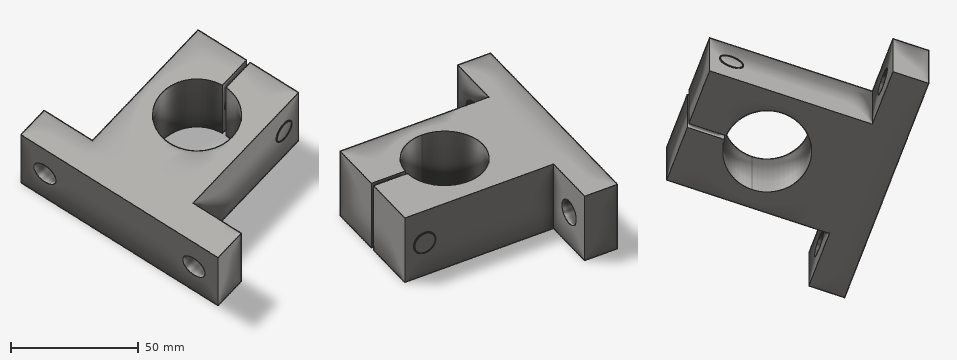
import cadquery as cq

base_length = 98.0
height = 32.0
depth = 83.0

base_thickness = 15.0
body_width = 50.0

bore_diameter = 35.0
bore_y = 50.0
slit_width = 1.8

mount_hole_diameter = 11.0
mount_hole_spacing = 74.0

screw_diameter = 10.0
screw_end_chamfer = 0.4
screw_y = depth - 9.2


def centred_block(width, y_start, y_end):
    """Full-height block centred on X and Z between two Y positions."""
    return (
        cq.Workplane("XY")
        .box(width, y_end - y_start, height)
        .translate((0, (y_start + y_end) / 2, 0))
    )


def cylinder_along_x(diameter, length):
    """Cylinder on the screw axis, centred on X."""
    return (
        cq.Workplane("YZ")
        .workplane(offset=-length / 2)
        .center(screw_y, 0)
        .circle(diameter / 2)
        .extrude(length)
    )


body = centred_block(base_length, 0, base_thickness)
body = body.union(centred_block(body_width, 0, depth))

shaft_bore = (
    cq.Workplane("XY")
    .center(0, bore_y)
    .circle(bore_diameter / 2)
    .extrude(height, both=True)
)
slit = centred_block(slit_width, bore_y, depth)
body = body.cut(shaft_bore).cut(slit)

mount_holes = (
    cq.Workplane("XZ")
    .pushPoints([(side * mount_hole_spacing / 2, 0) for side in (-1, 1)])
    .circle(mount_hole_diameter / 2)
    .extrude(-base_thickness)
)
body = body.cut(mount_holes)

screw_hole = cylinder_along_x(screw_diameter, body_width)
screw = screw_hole.faces("<X or >X").chamfer(screw_end_chamfer)

result = body.cut(screw_hole).union(screw)